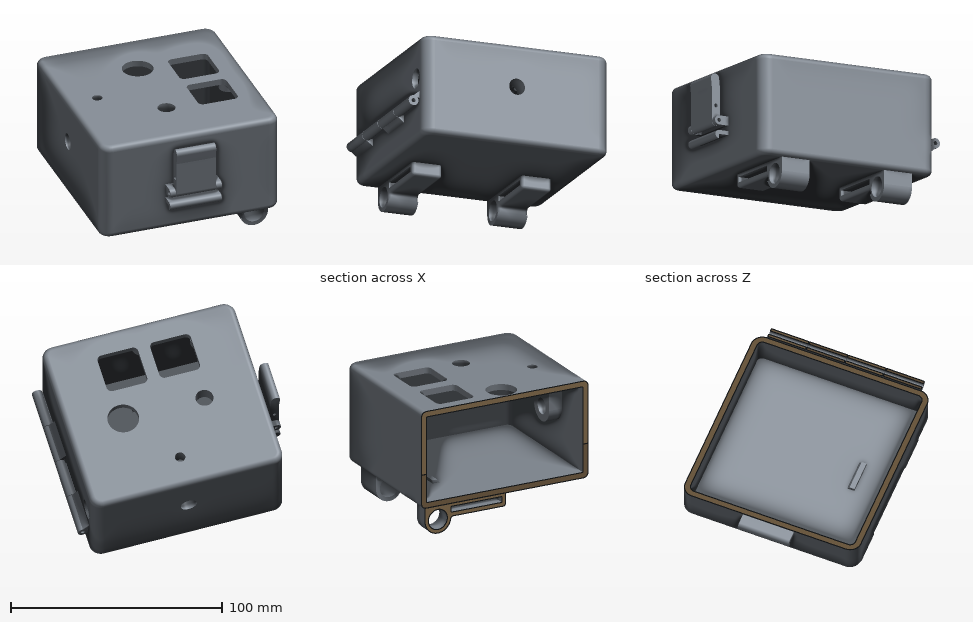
import cadquery as cq
import math

box_x = 94.9
box_y = 90.0
box_z = 49.3
seam_z = 17.1
wall = 3.0
corner_radius = 5.6
edge_radius = 2.7
inner_radius = corner_radius - wall
lid_inside_z = box_z - wall

window_size = 20.0
window_radius = 2.5
window_x = 13.0
window_y = 23.2
hole_row_y = -2.5
knob_hole_d = 15.0
knob_hole_x = -20.0
lamp_hole_d = 8.5
lamp_hole_x = 20.0
button_hole_d = 5.0
button_hole_y = -30.1
side_hole_d = 9.5
side_hole_y = -34.5
side_hole_z = 29.9
front_hole_d = 8.0
front_hole_z = 28.4

boss_d = 9.2
boss_end_z = 42.3
boss_centres = [(0, 35.9), (27.4, 31.1)]
collar_wall = 1.1
front_boss_d = 15.0
front_boss_end_y = -35.1

ridge_x = 15.3
ridge_back_y = 27.8
ridge_top_front_y = 25.3
ridge_front_y = 24.1
ridge_height = 1.6

knuckle_d = 5.0
knuckle_hole_d = 2.0
knuckle_count = 4
knuckle_gap = 0.2
hinge_outer_x = -53.0
hinge_x = hinge_outer_x + knuckle_d / 2
hinge_z = 17.3
hinge_length = box_y - 2 * corner_radius
knuckle_pitch = hinge_length / knuckle_count
gusset_reach = 5.0
gusset_inner = 1.5

latch_width = 26.0
lug_gap = 20.2
latch_pin_d = 1.8
latch_x = 52.5
latch_thickness = 4.4
lug_z = 22.0
web_x = 48.8
hook_thickness = 2.0
hook_depth = 4.0
lever_width = 19.8
lever_bend_z = 38.3
lever_top_z = 45.1
lever_hole_spacing = 7.7
lever_outer_x = 55.2
lever_tip_x = lever_outer_x - latch_thickness / 2

clip_x = 27.9
clip_width = 15.2
clip_back_y = 43.1
clip_end_y = -0.5
clip_bottom_z = -13.7
ring_d = 14.1
ring_hole_d = 10.0
ring_y = clip_back_y - ring_d / 2
ring_z = clip_bottom_z + ring_d / 2
arm_bottom_z = -6.5
slot_top_z = -1.5
slot_bottom_z = -4.2
slot_back_y = 28.9
slot_end_y = 1.7
clip_edge_radius = 1.5
arm_root_radius = 1.3
rounding_end_z = -9.2
rounding_end_y = ring_y - math.sqrt((ring_d / 2) ** 2 - (ring_z - rounding_end_z) ** 2)


def block(x0, x1, y0, y1, z0, z1):
    """Box between two opposite corners."""
    return cq.Workplane("XY").box(x1 - x0, y1 - y0, z1 - z0, centered=False).translate((x0, y0, z0))


def rod_z(diameter, x, y, z0, z1):
    return cq.Workplane("XY", origin=(x, y, z0)).circle(diameter / 2).extrude(z1 - z0)


def rod_y(diameter, x, z, y0, y1):
    return cq.Workplane("XZ", origin=(x, y0, z)).circle(diameter / 2).extrude(y0 - y1)


def rod_x(diameter, y, z, x0, x1):
    return cq.Workplane("YZ", origin=(x0, y, z)).circle(diameter / 2).extrude(x1 - x0)


def prism_y(points, y0, y1):
    """Polygon of (x, z) points, extruded from y0 to y1."""
    return cq.Workplane("XZ", origin=(0, y0, 0)).polyline(points).close().extrude(y0 - y1)


def hollow_box():
    """The closed enclosure before it is split at the seam."""
    outside = cq.Workplane("XY").box(box_x, box_y, box_z, centered=(True, True, False))
    outside = outside.edges("|Z").fillet(corner_radius)
    outside = outside.faces("<Z or >Z").edges().fillet(edge_radius)
    inside = cq.Workplane("XY", origin=(0, 0, wall)).rect(box_x - 2 * wall, box_y - 2 * wall)
    inside = inside.extrude(box_z - 2 * wall).edges("|Z").fillet(inner_radius)
    return outside.cut(inside)


def hinge_knuckles(first, side):
    """Every second knuckle from the -Y end, with gussets above (side 1) or below (side -1) the axis."""
    knuckles = []
    wall_x = -box_x / 2
    gusset = [
        (hinge_x, hinge_z + side * gusset_inner),
        (hinge_x, hinge_z + side * knuckle_d / 2),
        (wall_x, hinge_z + side * gusset_reach),
        (wall_x, hinge_z + side * gusset_inner),
    ]
    for index in range(first, knuckle_count, 2):
        y0 = -hinge_length / 2 + index * knuckle_pitch + knuckle_gap / 2
        y1 = y0 + knuckle_pitch - knuckle_gap
        knuckle = rod_y(knuckle_d, hinge_x, hinge_z, y0, y1).union(prism_y(gusset, y0, y1))
        knuckles.append(knuckle.cut(rod_y(knuckle_hole_d, hinge_x, hinge_z, y0, y1)))
    return knuckles


def latch_lugs():
    """Two round-ended lugs joined by a thin web along the lid."""
    half_width = latch_width / 2
    bottom = lug_z - latch_thickness / 2
    top = lug_z + latch_thickness / 2
    end_x = latch_x + latch_thickness / 2
    lugs = block(box_x / 2, latch_x, -half_width, half_width, bottom, top)
    lugs = lugs.union(rod_y(latch_thickness, latch_x, lug_z, -half_width, half_width))
    lugs = lugs.cut(block(web_x, end_x, -lug_gap / 2, lug_gap / 2, bottom, top))
    return lugs.cut(rod_y(latch_pin_d, latch_x, lug_z, -half_width, half_width))


def latch_hook():
    """Ledge on the base with a round-ended lip turned down from it."""
    half_width = latch_width / 2
    lip_z = seam_z - hook_depth / 2
    lip = rod_y(hook_depth, latch_x, lip_z, -half_width, half_width)
    lip = lip.intersect(block(latch_x, box_x, -half_width, half_width, 0, seam_z))
    return lip.union(block(box_x / 2, latch_x, -half_width, half_width, seam_z - hook_thickness, seam_z))


def front_boss():
    """U-shaped boss behind the front hole, hanging from the lid."""
    inside_y = -box_y / 2 + wall
    radius = front_boss_d / 2
    boss = rod_y(front_boss_d, 0, front_hole_z, inside_y, front_boss_end_y)
    return boss.union(block(-radius, radius, inside_y, front_boss_end_y, front_hole_z, lid_inside_z))


def make_lid():
    upper = block(-box_x, box_x, -box_y, box_y, seam_z, box_z)
    lid = hollow_box().intersect(upper)
    for x, y in boss_centres:
        lid = lid.union(rod_z(boss_d, x, y, boss_end_z, lid_inside_z))
    lid = lid.union(front_boss())
    collared_holes = [
        (lamp_hole_d, lamp_hole_x, hole_row_y),
        (button_hole_d, 0, button_hole_y),
    ]
    for diameter, x, y in collared_holes:
        lid = lid.union(rod_z(diameter + 2 * collar_wall, x, y, boss_end_z, lid_inside_z))
        lid = lid.cut(rod_z(diameter, x, y, boss_end_z, box_z))
    lid = lid.cut(rod_z(knob_hole_d, knob_hole_x, hole_row_y, lid_inside_z, box_z))
    for x in (-window_x, window_x):
        window = cq.Workplane("XY", origin=(x, window_y, lid_inside_z)).rect(window_size, window_size)
        lid = lid.cut(window.extrude(wall).edges("|Z").fillet(window_radius))
    lid = lid.cut(rod_x(side_hole_d, side_hole_y, side_hole_z, -box_x / 2, -box_x / 2 + wall))
    lid = lid.cut(rod_y(front_hole_d, 0, front_hole_z, -box_y / 2, front_boss_end_y))
    for knuckle in hinge_knuckles(0, 1):
        lid = lid.union(knuckle)
    return lid.union(latch_lugs())


def floor_ridge():
    """Flat-topped ridge on the floor, upright at the back and steeply sloped at the front."""
    top_z = wall + ridge_height
    profile = [
        (ridge_back_y, wall),
        (ridge_back_y, top_z),
        (ridge_top_front_y, top_z),
        (ridge_front_y, wall),
    ]
    return cq.Workplane("YZ", origin=(-ridge_x / 2, 0, 0)).polyline(profile).close().extrude(ridge_x)


def make_base():
    lower = block(-box_x, box_x, -box_y, box_y, 0, seam_z)
    base = hollow_box().intersect(lower).union(floor_ridge())
    for knuckle in hinge_knuckles(1, -1):
        base = base.union(knuckle)
    return base.union(latch_hook())


def make_lever():
    """Straight lever with round ends, its upper part leaning outwards."""
    radius = latch_thickness / 2
    tip_z = lever_top_z - radius
    lean = math.atan2(lever_tip_x - latch_x, tip_z - lever_bend_z)
    side_x = radius * math.cos(lean)
    side_z = radius * math.sin(lean)
    profile = (
        cq.Workplane("XZ", origin=(0, lever_width / 2, 0))
        .moveTo(latch_x - radius, lug_z)
        .lineTo(latch_x - radius, lever_bend_z)
        .lineTo(lever_tip_x - side_x, tip_z + side_z)
        .threePointArc(
            (lever_tip_x + side_z, tip_z + side_x),
            (lever_tip_x + side_x, tip_z - side_z),
        )
        .lineTo(latch_x + radius, lever_bend_z)
        .lineTo(latch_x + radius, lug_z)
        .threePointArc((latch_x, lug_z - radius), (latch_x - radius, lug_z))
        .close()
    )
    lever = profile.extrude(lever_width)
    for z in (lug_z, lug_z + lever_hole_spacing):
        lever = lever.cut(rod_y(latch_pin_d, latch_x, z, -lever_width / 2, lever_width / 2))
    return lever


def square_arm(x):
    """Arm of a clip with sharp edges, running through a concave arc into the outside of the ring."""
    ring_radius = ring_d / 2
    root_centre_z = arm_bottom_z - arm_root_radius
    centre_distance = ring_radius + arm_root_radius
    root_centre_y = ring_y - math.sqrt(centre_distance**2 - (ring_z - root_centre_z) ** 2)
    share = ring_radius / centre_distance
    tangent_y = ring_y + share * (root_centre_y - ring_y)
    tangent_z = ring_z + share * (root_centre_z - ring_z)
    profile = (
        cq.Workplane("YZ", origin=(x - clip_width / 2, 0, 0))
        .moveTo(ring_y, 0)
        .lineTo(clip_end_y, 0)
        .lineTo(clip_end_y, arm_bottom_z)
        .lineTo(root_centre_y, arm_bottom_z)
        .tangentArcPoint((tangent_y, tangent_z), relative=False)
        .tangentArcPoint((rounding_end_y, rounding_end_z), relative=False)
        .lineTo(ring_y, rounding_end_z)
        .close()
    )
    return profile.extrude(clip_width)


def make_clip(x):
    """Ring with a slotted, round-edged arm, hanging from the underside of the base."""
    x0 = x - clip_width / 2
    x1 = x + clip_width / 2
    arm = square_arm(x)
    margin = 0.1
    below_base = cq.selectors.BoxSelector(
        (x0 - margin, clip_end_y - margin, rounding_end_z + margin),
        (x1 + margin, rounding_end_y + margin, -margin),
    )
    side_edges = arm.edges("<X or >X").edges(below_base)
    corner_edge = arm.edges("|X").edges("<Y").edges("<Z")
    rounded_arm = side_edges.add(corner_edge).fillet(clip_edge_radius)
    trimmings = arm.cut(rounded_arm)
    clip = arm.union(rod_x(ring_d, ring_y, ring_z, x0, x1))
    clip = clip.union(block(x0, x1, ring_y, clip_back_y, ring_z, 0))
    clip = clip.cut(trimmings)
    clip = clip.cut(rod_x(ring_hole_d, ring_y, ring_z, x0, x1))
    clip = clip.cut(block(x0, x1, clip_end_y, clip_back_y, 0, ring_d))
    return clip.cut(block(x0, x1, slot_end_y, slot_back_y, slot_bottom_z, slot_top_z))


lid = make_lid()
base = make_base()
lever = make_lever()
clips = [make_clip(x) for x in (-clip_x, clip_x)]

result = cq.Compound.makeCompound([lid.val(), base.val(), lever.val(), *[clip.val() for clip in clips]])